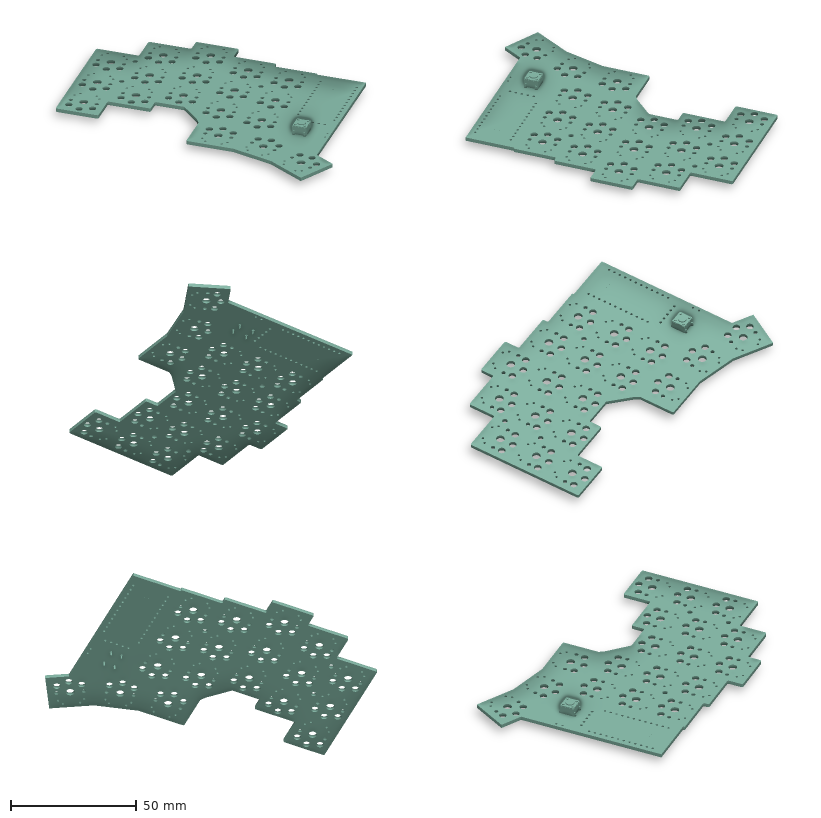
import cadquery as cq
import math


board_thickness = 1.5
key_width = 18.0
key_rows = 3
column_height = 51.0
key_depth = column_height / key_rows
column_tops = [73.0, 84.9, 90.8, 84.3, 81.9]
controller_top = 81.2
right_edge = 110.9
corner_radius = 0.6
step_radius = 0.3
edge_margin = 1.2

thumb_start_x = 59.7
thumb_bottom = 13.7
thumb_tilt_step = 15
thumb_key_center = (8.8, 8.2)
thumb_keys = 3
thumb_margin_x = 57.8
palm_corner_x = 48.4
palm_bottom = 39.5
slope_end = (56.4, 31.5)
thumb_margin_top = 29.3

stem_hole_diameter = 3.5
contact_hole_diameter = 3.0
contact_holes = [(0, -5.8), (-5.0, -3.8), (5.0, -3.8)]
post_hole_diameter = 1.7
post_hole_offset = 5.5
pin_hole_diameter = 1.0
pin_holes = [(-5.2, 4.2), (-3.5, 6.1), (3.5, 6.1), (5.2, 4.2)]

mount_hole_diameter = 2.1
mount_holes = [(key_width, 68.1), (key_width, 51.1), (4 * key_width, 65.0)]

header_hole_diameter = 1.0
header_rows = 12
header_span = 27.9
header_pitch = header_span / (header_rows - 1)
header_top = 76.3
header_center_x = 101.0
header_spacing = 15.3

strip_hole_diameter = 1.1
strip_count = 5
strip_y = 43.9

battery_hole_diameter = 0.9
battery_x = 109.4
battery_center_y = 35.8
battery_spacing = 2.9

locating_hole_diameter = 0.31
locating_y = 72.0
locating_spacing = 1.9

button_x = 99.1
button_y = 35.6
housing_side = 6.0
housing_height = 3.5
cover_thickness = 0.4
cover_inset = 0.06
button_height = 4.3
plunger_diameter = 3.5
rivet_diameter = 0.99
rivet_offset = 2.0

leg_hole_diameter = 1.1
leg_spacing_x = 4.5
leg_spacing_y = 6.4
leg_width = 0.6
leg_thickness = 0.3
leg_shoulder = 1.5
leg_length_below = 1.9
leg_kink = 0.4
leg_kink_depth = 0.2


def rotated(point, angle):
    """Turn a point about the origin, counter-clockwise, in degrees."""
    c = math.cos(math.radians(angle))
    s = math.sin(math.radians(angle))
    return (point[0] * c - point[1] * s, point[0] * s + point[1] * c)


def shifted(point, offset):
    return (point[0] + offset[0], point[1] + offset[1])


thumb_corners = [(thumb_start_x, thumb_bottom)]
thumb_placements = []
for i in range(thumb_keys):
    tilt = -i * thumb_tilt_step
    start = thumb_corners[-1]
    center = shifted(start, rotated(thumb_key_center, tilt))
    thumb_placements.append((center, 180 + tilt))
    thumb_corners.append(shifted(start, rotated((key_width, 0), tilt)))

last_tilt = -(thumb_keys - 1) * thumb_tilt_step
thumb_tip = shifted(thumb_corners[-1], rotated((0, key_depth), last_tilt))
right_edge_bottom = thumb_tip[1] + (thumb_tip[0] - right_edge) * math.tan(math.radians(-last_tilt))

column_placements = []
for column, top in enumerate(column_tops):
    for row in range(key_rows):
        center = ((column + 0.5) * key_width, top - (row + 0.5) * key_depth)
        column_placements.append((center, 0))

key_placements = column_placements + thumb_placements


def board_outline():
    bottoms = [top - column_height for top in column_tops]
    points = [(0, bottoms[0])]
    for column, top in enumerate(column_tops):
        points.append((column * key_width, top))
        points.append(((column + 1) * key_width, top))
    points += [
        (len(column_tops) * key_width, controller_top),
        (right_edge, controller_top),
        (right_edge, right_edge_bottom),
        thumb_tip,
    ]
    points += reversed(thumb_corners[1:])
    points += [
        (thumb_margin_x, thumb_bottom),
        (thumb_margin_x, thumb_margin_top),
        slope_end,
        (palm_corner_x, palm_bottom),
        (2 * key_width, palm_bottom),
        (2 * key_width, bottoms[1]),
        (key_width, bottoms[1]),
        (key_width, bottoms[0]),
    ]
    return points


def drill(board, points, diameter):
    cutters = (
        cq.Workplane("XY")
        .pushPoints(points)
        .circle(diameter / 2)
        .extrude(board_thickness)
    )
    return board.cut(cutters)


def key_points(local_points):
    """Place the same footprint points at every key."""
    return [
        shifted(center, rotated(point, angle))
        for center, angle in key_placements
        for point in local_points
    ]


def leg_positions():
    return [
        (button_x + sx * leg_spacing_x / 2, button_y + sy * leg_spacing_y / 2)
        for sx in (-1, 1)
        for sy in (-1, 1)
    ]


def round_corners(board, left, right, radius):
    """Round the upright edges whose X lies between left and right, above the thumb tilt."""
    corners = cq.selectors.BoxSelector(
        (left - edge_margin, thumb_bottom - edge_margin, -edge_margin),
        (right + edge_margin, max(column_tops) + edge_margin, board_thickness + edge_margin),
    )
    return board.edges("|Z").edges(corners).fillet(radius)


def make_board():
    board = cq.Workplane("XY").polyline(board_outline()).close().extrude(board_thickness)
    step_x = len(column_tops) * key_width
    board = round_corners(board, 0, step_x - key_width, corner_radius)
    board = round_corners(board, step_x, step_x, step_radius)

    board = drill(board, key_points([(0, 0)]), stem_hole_diameter)
    board = drill(board, key_points(contact_holes), contact_hole_diameter)
    board = drill(board, key_points([(-post_hole_offset, 0), (post_hole_offset, 0)]), post_hole_diameter)
    board = drill(board, key_points(pin_holes), pin_hole_diameter)

    board = drill(board, mount_holes, mount_hole_diameter)

    headers = [
        (header_center_x + side * header_spacing / 2, header_top - row * header_pitch)
        for side in (-1, 1)
        for row in range(header_rows)
    ]
    board = drill(board, headers, header_hole_diameter)

    strip = [
        (header_center_x + (i - (strip_count - 1) / 2) * header_pitch, strip_y)
        for i in range(strip_count)
    ]
    board = drill(board, strip, strip_hole_diameter)

    battery = [(battery_x, battery_center_y + side * battery_spacing / 2) for side in (-1, 1)]
    board = drill(board, battery, battery_hole_diameter)

    locating = [(header_center_x + side * locating_spacing / 2, locating_y) for side in (-1, 1)]
    board = drill(board, locating, locating_hole_diameter)

    return drill(board, leg_positions(), leg_hole_diameter)


def make_leg():
    """One leg on the +Y side, with a YZ profile and the board surface at Z = 0."""
    inner = leg_spacing_y / 2 - leg_thickness / 2
    outer = inner + leg_thickness
    kink_start = -board_thickness / 2
    kink_peak = -board_thickness - leg_kink_depth
    kink_end = kink_peak - leg_kink_depth
    tip = -board_thickness - leg_length_below
    root = housing_side / 2 - leg_thickness
    return (
        cq.Workplane("YZ")
        .polyline([
            (root, leg_shoulder),
            (outer, leg_shoulder),
            (outer, kink_start),
            (outer + leg_kink, kink_peak),
            (outer, kink_end),
            (outer, tip),
            (inner, tip),
            (inner, kink_end),
            (inner + leg_kink, kink_peak),
            (inner, kink_start),
            (inner, leg_shoulder - leg_thickness),
            (root, leg_shoulder - leg_thickness),
        ])
        .close()
        .extrude(leg_width / 2, both=True)
    )


def make_button():
    """Push button: square housing and cover, round plunger, four rivets and four legs."""
    cover_top = housing_height + cover_thickness
    cover_side = housing_side - 2 * cover_inset
    button = cq.Workplane("XY").rect(housing_side, housing_side).extrude(housing_height)
    button = button.faces(">Z").workplane().rect(cover_side, cover_side).extrude(cover_thickness)

    top = cq.Workplane("XY").workplane(offset=cover_top)
    button = button.union(top.circle(plunger_diameter / 2).extrude(button_height - cover_top))
    button = button.union(
        top.rect(2 * rivet_offset, 2 * rivet_offset, forConstruction=True)
        .vertices()
        .circle(rivet_diameter / 2)
        .extrude(button_height - cover_top)
    )

    for side_angle in (0, 180):
        leg = make_leg().rotate((0, 0, 0), (0, 0, 1), side_angle)
        for side in (-1, 1):
            button = button.union(leg.translate((side * leg_spacing_x / 2, 0, 0)))
    return button.translate((button_x, button_y, board_thickness))


board = make_board()
button = make_button()
result = cq.Compound.makeCompound([board.solids().val(), button.solids().val()])